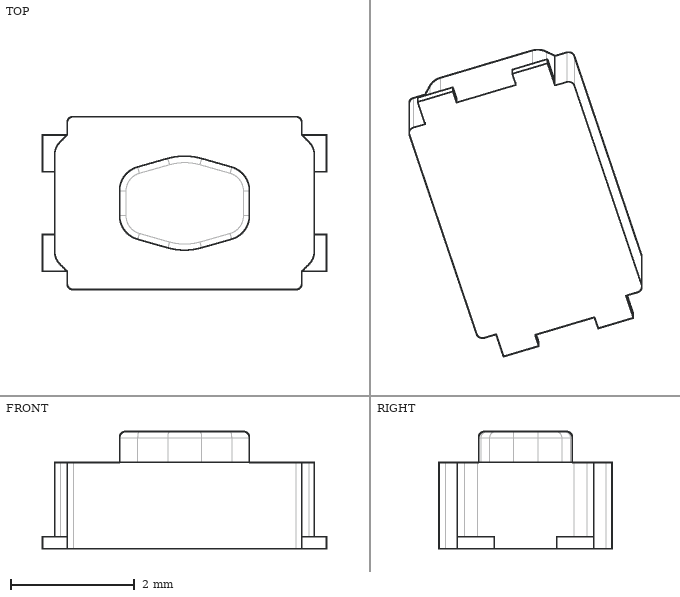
import cadquery as cq

overall_length = 4.6
body_width = 2.8
overall_height = 1.9

body_height = 1.4
body_length = 4.2
shoulder_length = 3.8
shoulder_depth = 0.3
shoulder_radius = 0.1
end_radius = 0.3

button_length = 2.1
button_peak_width = 1.6
button_side_width = 1.005
button_peak_radius = 1.0
button_corner_radius = 0.4
button_edge_radius = 0.1

terminal_width = 0.6
terminal_height = 0.2

notch_y = body_width / 2 - shoulder_depth


def make_body():
    """Block whose ends bulge out between four shoulders, with 45 degree transitions."""
    end_step = (body_length - shoulder_length) / 2
    end_width = 2 * (notch_y - end_step)

    middle = (
        cq.Workplane("XY")
        .rect(body_length, 2 * notch_y)
        .extrude(body_height)
        .edges("|Z")
        .chamfer(end_step)
    )
    end_corners = cq.selectors.BoxSelector(
        (-body_length, -end_width / 2 - end_step / 4, 0),
        (body_length, end_width / 2 + end_step / 4, body_height),
    )
    middle = middle.edges("|Z").edges(end_corners).fillet(end_radius)

    shoulders = (
        cq.Workplane("XY")
        .rect(shoulder_length, body_width)
        .extrude(body_height)
        .edges("|Z")
        .fillet(shoulder_radius)
    )
    return middle.union(shoulders)


def make_button():
    """Six-sided button with rounded corners and a rounded top edge."""
    half_length = button_length / 2
    half_peak = button_peak_width / 2
    half_side = button_side_width / 2
    outline = [
        (0, half_peak),
        (half_length, half_side),
        (half_length, -half_side),
        (0, -half_peak),
        (-half_length, -half_side),
        (-half_length, half_side),
    ]
    button = (
        cq.Workplane("XY")
        .workplane(offset=body_height)
        .polyline(outline)
        .close()
        .extrude(overall_height - body_height)
    )
    button = button.edges("|Z and (>Y or <Y)").fillet(button_peak_radius)
    button = button.edges("|Z and (>X or <X)").fillet(button_corner_radius)
    return button.faces(">Z").edges().fillet(button_edge_radius)


def make_terminals():
    """Four flat terminals in the base plane, outer sides in line with the notches."""
    terminal_length = (overall_length - shoulder_length) / 2
    centers = [
        (x_side * (overall_length - terminal_length) / 2, y_side * (notch_y - terminal_width / 2))
        for x_side in (-1, 1)
        for y_side in (-1, 1)
    ]
    return (
        cq.Workplane("XY")
        .pushPoints(centers)
        .rect(terminal_length, terminal_width)
        .extrude(terminal_height)
    )


result = make_body().union(make_terminals()).union(make_button())